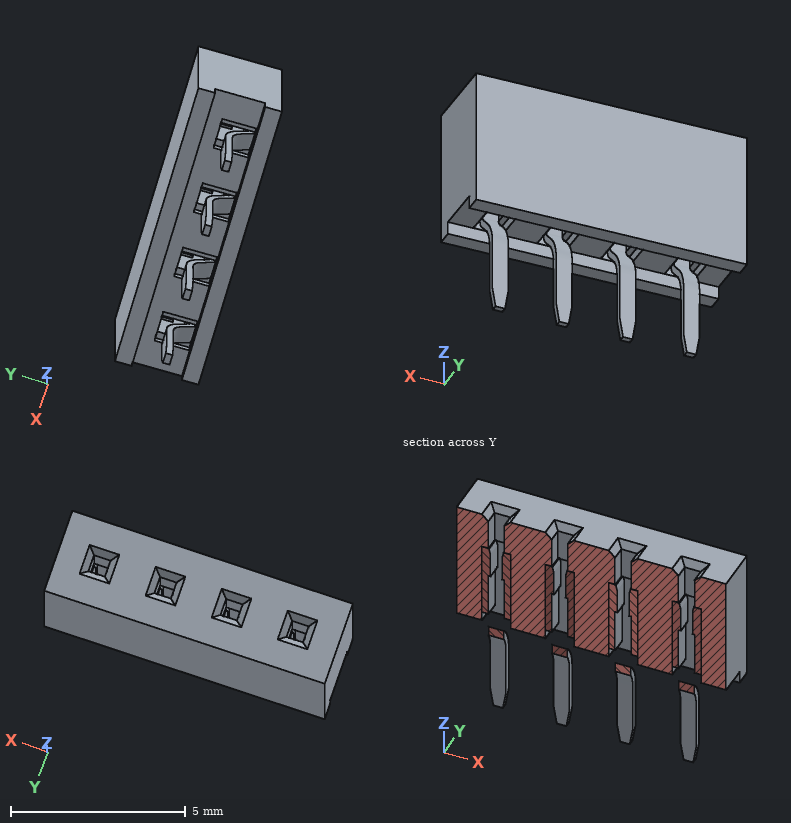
import cadquery as cq
import math

contact_count = 4
pitch = 2.0

housing_length = 8.5
housing_width = 2.5
housing_height = 4.3
foot_width = 0.5
channel_height = 0.4

entry_size = 0.5
lead_in = 0.2
entry_depth = 1.2

strip_thickness = 0.2
strip_width = 0.5
tail_center_y = 0.04
tail_length = 2.7
tip_width = 0.3
tip_length = 0.6
bend_start_z = -0.52
bend_angle = math.radians(45)
lower_bend_radius = 1.0
ramp_rise = 0.3
upper_bend_radius = 0.3

wall_front_y = 0.3
pad_gap = 0.36
pad_top_gap = 0.45
pad_slope_height = 0.18
pad_height = 1.0

lower_bend_shift = lower_bend_radius * (1 - math.cos(bend_angle))
upper_bend_shift = upper_bend_radius * (1 - math.cos(bend_angle))
ramp_shift = ramp_rise * math.tan(bend_angle)
ramp_start_y = tail_center_y - lower_bend_shift
ramp_end_y = ramp_start_y - ramp_shift
back_center_y = ramp_end_y - upper_bend_shift
ramp_start_z = bend_start_z + lower_bend_radius * math.sin(bend_angle)
ramp_end_z = ramp_start_z + ramp_rise
spring_base_z = ramp_end_z + upper_bend_radius * math.sin(bend_angle)
spring_top_z = housing_height - entry_depth

pad_back_y = ramp_start_y + strip_thickness / 2 * math.cos(bend_angle)

cavity_back_y = back_center_y - strip_thickness / 2
cavity_width = strip_width + 2 * strip_thickness

contact_positions = [(i - (contact_count - 1) / 2) * pitch for i in range(contact_count)]


def box(size_x, y_min, y_max, z_min, z_max, center_x=0):
    """Box centred on center_x that spans the given Y and Z limits."""
    return (
        cq.Workplane("XY", origin=(center_x, (y_min + y_max) / 2, z_min))
        .box(size_x, y_max - y_min, z_max - z_min, centered=(True, True, False))
    )


def make_entry(center_x):
    """Square hole with a 45 degree lead-in, opening into the contact cavity."""
    half = entry_size / 2
    hole = box(entry_size, -half, half, spring_top_z, housing_height, center_x)
    mouth_size = entry_size + 2 * lead_in
    funnel = (
        cq.Workplane("XY", origin=(center_x, 0, housing_height))
        .rect(mouth_size, mouth_size)
        .workplane(offset=-lead_in)
        .rect(entry_size, entry_size)
        .loft(ruled=True)
    )
    return hole.union(funnel)


def make_housing():
    """Block with a channel along its underside and an entry and cavity for each contact."""
    half_width = housing_width / 2
    half_channel = half_width - foot_width
    body = box(housing_length, -half_width, half_width, 0, housing_height)
    body = body.cut(box(housing_length, -half_channel, half_channel, 0, channel_height))
    for x in contact_positions:
        cavity = box(cavity_width, cavity_back_y, wall_front_y, channel_height, spring_top_z, x)
        body = body.cut(cavity).cut(make_entry(x))
    return body.solids()


def bend_point(center_y, center_z, radius, angle):
    """Point in the YZ plane at an angle measured from +Y towards +Z."""
    return (center_y + radius * math.cos(angle), center_z + radius * math.sin(angle))


def make_strip():
    """Strip bent in an S: straight tail, 45 degree ramp and upright back plate."""
    half = strip_thickness / 2
    lower_center_y = tail_center_y - lower_bend_radius
    upper_center_y = back_center_y + upper_bend_radius

    def lower(radius, angle):
        return bend_point(lower_center_y, bend_start_z, radius, angle)

    def upper(radius, angle):
        return bend_point(upper_center_y, spring_base_z, radius, math.pi + angle)

    lower_outer = lower_bend_radius + half
    lower_inner = lower_bend_radius - half
    upper_outer = upper_bend_radius + half
    upper_inner = upper_bend_radius - half
    half_bend = bend_angle / 2
    profile = (
        cq.Workplane("YZ")
        .moveTo(tail_center_y + half, -tail_length)
        .lineTo(*lower(lower_outer, 0))
        .threePointArc(lower(lower_outer, half_bend), lower(lower_outer, bend_angle))
        .lineTo(*upper(upper_inner, bend_angle))
        .threePointArc(upper(upper_inner, half_bend), upper(upper_inner, 0))
        .lineTo(back_center_y + half, spring_top_z)
        .lineTo(back_center_y - half, spring_top_z)
        .lineTo(*upper(upper_outer, 0))
        .threePointArc(upper(upper_outer, half_bend), upper(upper_outer, bend_angle))
        .lineTo(*lower(lower_inner, bend_angle))
        .threePointArc(lower(lower_inner, half_bend), lower(lower_inner, 0))
        .lineTo(tail_center_y - half, -tail_length)
        .close()
    )
    strip = profile.extrude(strip_width / 2, both=True)
    return strip.intersect(make_strip_outline())


def make_strip_outline():
    """Width of the strip along its length, narrowing to the tip at the bottom."""
    half_width = strip_width / 2
    half_tip = tip_width / 2
    shoulder_z = tip_length - tail_length
    return (
        cq.Workplane("XZ")
        .polyline([
            (-half_tip, -tail_length),
            (half_tip, -tail_length),
            (half_width, shoulder_z),
            (half_width, spring_top_z),
            (-half_width, spring_top_z),
            (-half_width, shoulder_z),
        ])
        .close()
        .extrude(housing_width / 2, both=True)
    )


def make_spring_side():
    """Side wall on +X, with a pad whose sloped top guides the mating pin inwards."""
    inner_x = strip_width / 2
    wall_center_x = inner_x + strip_thickness / 2
    wall = box(strip_thickness, cavity_back_y, wall_front_y, spring_base_z, spring_top_z, wall_center_x)
    pad = (
        cq.Workplane("XZ", origin=(0, wall_front_y, 0))
        .polyline([
            (inner_x, spring_top_z),
            (pad_top_gap / 2, spring_top_z),
            (pad_gap / 2, spring_top_z - pad_slope_height),
            (pad_gap / 2, spring_top_z - pad_height),
            (inner_x, spring_top_z - pad_height),
        ])
        .close()
        .extrude(wall_front_y - pad_back_y)
    )
    return wall.union(pad)


def make_contact(center_x):
    """Bent strip joined to its two spring sides."""
    side = make_spring_side()
    contact = make_strip().union(side).union(side.mirror("YZ"))
    return contact.translate((center_x, 0, 0)).solids()


housing = make_housing()
contacts = [make_contact(x) for x in contact_positions]

result = cq.Compound.makeCompound([housing.val(), *[contact.val() for contact in contacts]])